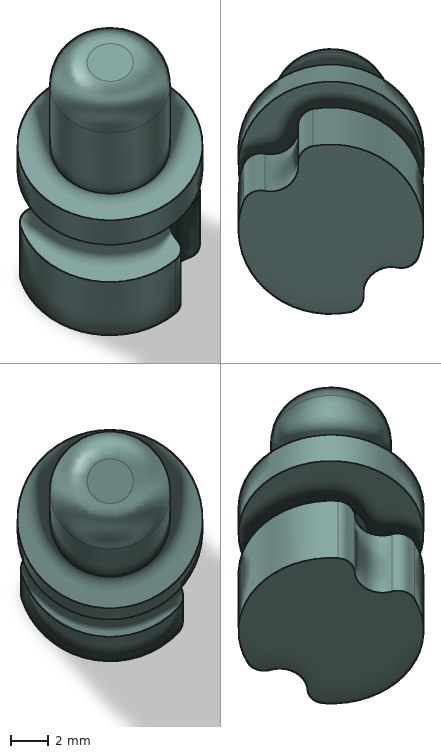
import cadquery as cq
import math

total_height = 18.5
base_height = 5.0
neck_height = 3.5
flange_height = 2.3

flange_diameter = 10.0
base_radius = flange_diameter / 2
neck_diameter = 4.0
pin_diameter = 6.5
pin_tip_radius = 2.0

lip_radius = 1.0
lip_angle = math.radians(30)
notch_radius = 1.5

flange_bottom = base_height + neck_height
pin_bottom = flange_bottom + flange_height
pin_height = total_height - pin_bottom


def cylinder(diameter, height, bottom):
    """Upright cylinder on the Z axis."""
    return cq.Workplane("XY").workplane(offset=bottom).circle(diameter / 2).extrude(height)


def make_base():
    """Disc with two opposite notches, blended into the rim by rounded lips."""
    lip_distance = base_radius - lip_radius
    lip_x = lip_distance * math.cos(lip_angle)
    lip_y = lip_distance * math.sin(lip_angle)

    center_distance = lip_radius + notch_radius
    notch_x = lip_x + math.sqrt(center_distance**2 - lip_y**2)
    notch_bottom_x = notch_x - notch_radius

    rim_x = base_radius * math.cos(lip_angle)
    rim_y = base_radius * math.sin(lip_angle)
    lip_share = lip_radius / center_distance
    join_x = lip_x + lip_share * (notch_x - lip_x)
    join_y = lip_y * (1 - lip_share)
    lip_tip_x = lip_x + lip_radius

    outline = (
        cq.Workplane("XY")
        .moveTo(rim_x, rim_y)
        .threePointArc((0, base_radius), (-rim_x, rim_y))
        .threePointArc((-lip_tip_x, lip_y), (-join_x, join_y))
        .threePointArc((-notch_bottom_x, 0), (-join_x, -join_y))
        .threePointArc((-lip_tip_x, -lip_y), (-rim_x, -rim_y))
        .threePointArc((0, -base_radius), (rim_x, -rim_y))
        .threePointArc((lip_tip_x, -lip_y), (join_x, -join_y))
        .threePointArc((notch_bottom_x, 0), (join_x, join_y))
        .threePointArc((lip_tip_x, lip_y), (rim_x, rim_y))
        .close()
    )
    return outline.extrude(base_height)


def make_pin():
    """Pin with a rounded tip that leaves a small flat on top."""
    return cylinder(pin_diameter, pin_height, pin_bottom).faces(">Z").edges().fillet(pin_tip_radius)


neck = cylinder(neck_diameter, neck_height, base_height)
flange = cylinder(flange_diameter, flange_height, flange_bottom)

result = make_base().union(neck).union(flange).union(make_pin())